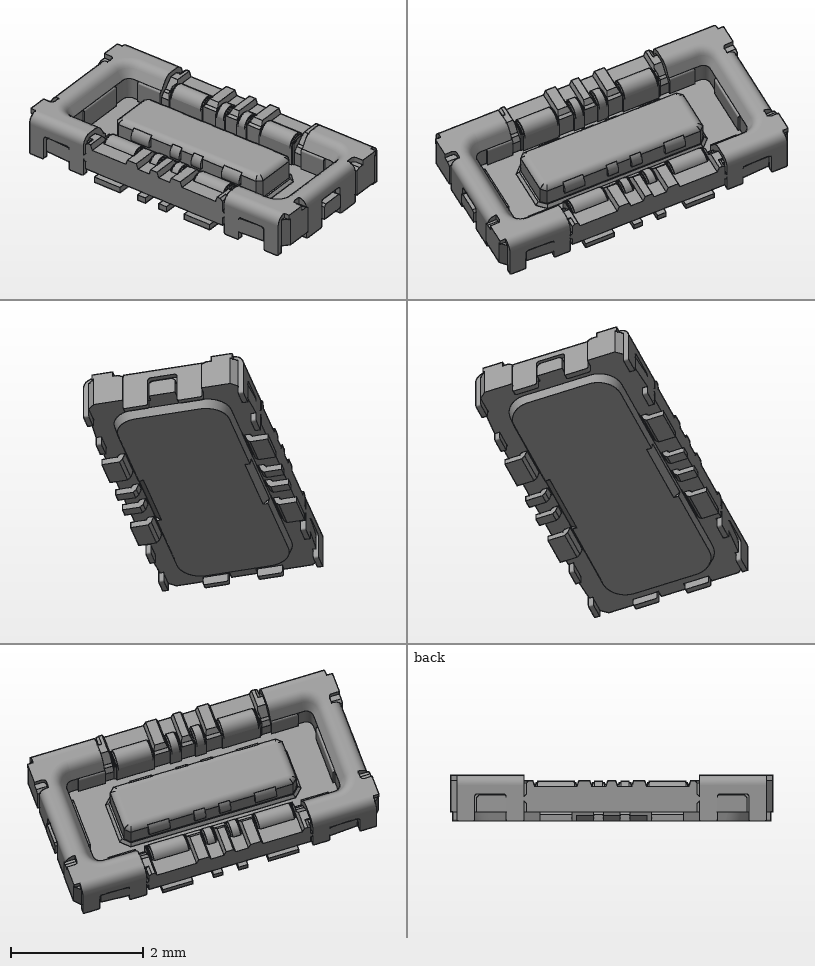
import cadquery as cq
import math

LENGTH = 4.88
WIDTH = 2.6
HEIGHT = 0.7
HALF_X = LENGTH / 2
HALF_Y = 1.255
TAIL_Y = WIDTH / 2
BODY_BOTTOM = 0.14
FLOOR_Z = BODY_BOTTOM
EMBED = 0.05
SHEET = 0.085

SHELL_INNER_X = 1.325
SHELL_OUTER_X = 2.345
SIDE_BEND = 0.155
END_FLANGE_X = 2.41
END_FLANGE_Y = 0.62
END_BEND = 0.145
LEG_ROUND = 0.03

SHOULDER_Z = 0.615
BLOCK_Y = 1.1
BLOCK_CHAMFER_Y = 1.07
NOTCH_Y = 0.77
NOTCH_STEP_Y = 0.685
NOTCH_X = 2.265
NOTCH_ROUND = 0.055
NOTCH_LOW_Z = 0.58

RIM_X = 2.115
RIM_Y = 0.87
RIM_CORNER = 0.26
RIM_ROUND = 0.18
FUNNEL_ANGLE = 33.5
FUNNEL_DEPTH = 0.215
BULGE_Y = 0.695
BULGE_X = 1.755
END_PAD_X = 1.935
END_PAD_Y = 0.405

SIDE_WINDOW = (1.6, 2.08, 0.415)
SIDE_TONGUE = (1.6, 2.05, 0.395)
SIDE_TONGUE_SETBACK = 0.03
END_WINDOW_Y = 0.23
END_WINDOW_TOP = 0.5
END_TAB_Y = 0.205
END_TAB_TOP = 0.405
TAB_CHAMFER = 0.04
WINDOW_ROUND = 0.05

RIB_TOP = 0.615
RIB_INNER_Y = 0.715
RIB_NOSE_Z = 0.52
RIB_BEVEL = (0.77, 0.54)
RIB_SHOULDER_Y = 0.835
END_RIB_SHOULDER_Y = 0.96
END_RIB_STEPS = ((0.83, 0.465), (0.785, 0.44), (0.725, 0.365))
CHANNEL_Z = 0.525
WALL_CHANNELS = ((0.095, 0.3), (0.53, 1.16))
CHANNEL_FLARE = 0.035
CONTACTS = ((0.11, 0.29), (0.54, 1.145))
CONTACT_FLANK = 0.025
CONTACT_TOP = 0.605
CONTACT_OUTER_Y = 1.005
CONTACT_CREST_Y = 0.89
CONTACT_INNER_Z = 0.465
TAILS = ((0.125, 0.275), (0.605, 1.09))
TAIL_THICKNESS = 0.1
TAIL_HEEL = ((1.025, 0), (0.975, 0.045), (0.935, BODY_BOTTOM))
TAIL_INSIDE = ((1.025, BODY_BOTTOM), (1.06, TAIL_THICKNESS))
END_RIB_X = 1.18
GAP_X = 1.295
GAP_BRIDGE = (0.305, 0.375)
POCKET_X = 1.25
POCKET_Y = 1.115

ISLAND_X = 1.375
ISLAND_Y = 0.41
ISLAND_TOP = 0.56
ISLAND_CORNER = 0.08
ISLAND_EDGE_WIDTH = 0.115
ISLAND_EDGE_DROP = 0.07
LEDGE_X = 1.45
LEDGE_Y = 0.47
LEDGE_CORNER = 0.13
LEDGE_Z = FLOOR_Z + 0.05
LEDGE_BEVEL = 0.045
ISLAND_CONTACTS = ((0.11, 0.29), (0.685, 1.02))
ISLAND_CONTACT_Y = 0.455
ISLAND_CONTACT_CREST = (0.44, 0.47)
ISLAND_CONTACT_INNER_Y = 0.385
ISLAND_CONTACT_TOP = 0.525
ISLAND_CONTACT_BOTTOM = 0.33

BASE_X = 2.145
BASE_Y = 0.915
BASE_CORNER = 0.39
BASE_DRAFT = 0.04
UNDERCUT_X = 0.53
UNDERCUT_HEIGHT = 0.1
UNDERCUT_DEPTH = 0.115


def block(x0, x1, y0, y1, z0, z1):
    return cq.Workplane("XY").box(x1 - x0, y1 - y0, z1 - z0, centered=False).translate((x0, y0, z0))


def centred(half_x, half_y, z0, z1):
    return block(-half_x, half_x, -half_y, half_y, z0, z1)


def both_sides(solid):
    """Solid together with its mirror image in Y."""
    return solid.union(solid.mirror("XZ"))


def four_ways(solid):
    """Solid together with its mirror images in X and Y."""
    halves = solid.union(solid.mirror("YZ"))
    return both_sides(halves)


def along_x(profile, x0, x1):
    """Extrude a closed (Y, Z) profile from x0 to x1."""
    return cq.Workplane("YZ").polyline(profile).close().extrude(x1 - x0).translate((x0, 0, 0))


def along_y(profile, y0, y1):
    """Extrude a closed (X, Z) profile from y0 to y1."""
    return cq.Workplane("XZ").polyline(profile).close().extrude(y0 - y1).translate((0, y0, 0))


def make_base():
    taper = math.degrees(math.atan(BASE_DRAFT / BODY_BOTTOM))
    base = (
        cq.Workplane("XY", origin=(0, 0, BODY_BOTTOM))
        .rect(2 * BASE_X, 2 * BASE_Y)
        .extrude(-BODY_BOTTOM, taper=taper)
        .edges("not(#Z)").fillet(BASE_CORNER)
    )
    undercut = [
        (BASE_Y - UNDERCUT_DEPTH, 0),
        (BASE_Y, UNDERCUT_HEIGHT),
        (BASE_Y, 0),
    ]
    return base.cut(both_sides(along_x(undercut, -UNDERCUT_X, UNDERCUT_X)))


def make_frame():
    sides = centred(SHELL_OUTER_X, HALF_Y, BODY_BOTTOM, HEIGHT)
    sides = sides.edges("|X and >Z").fillet(SIDE_BEND)
    bend_room = block(NOTCH_X, HALF_X, 0, END_FLANGE_Y, BODY_BOTTOM, HEIGHT)
    sides = sides.cut(four_ways(bend_room))
    ends = centred(END_FLANGE_X, END_FLANGE_Y, BODY_BOTTOM, HEIGHT)
    ends = ends.edges("|Y and >Z").fillet(END_BEND)

    outline = [
        (NOTCH_X, END_FLANGE_Y),
        (HALF_X, END_FLANGE_Y),
        (HALF_X, BLOCK_CHAMFER_Y),
        (SHELL_OUTER_X, HALF_Y - SHEET),
        (NOTCH_X, HALF_Y - SHEET),
    ]
    corner = cq.Workplane("XY").polyline(outline).close().extrude(SHOULDER_Z - BODY_BOTTOM)
    corner = corner.translate((0, 0, BODY_BOTTOM))
    corner = corner.union(block(NOTCH_X, HALF_X, NOTCH_Y, BLOCK_Y, SHOULDER_Z, HEIGHT))
    frame = sides.union(ends).union(four_ways(corner))

    notch = [
        (END_FLANGE_Y, NOTCH_LOW_Z),
        (NOTCH_STEP_Y, SHOULDER_Z),
        (NOTCH_Y, SHOULDER_Z),
        (NOTCH_Y, HEIGHT),
        (END_FLANGE_Y, HEIGHT),
    ]
    notch = along_x(notch, NOTCH_X, HALF_X)
    inner_edge = cq.selectors.NearestToPointSelector((NOTCH_X, NOTCH_Y, (SHOULDER_Z + HEIGHT) / 2))
    notch = notch.edges(inner_edge).fillet(NOTCH_ROUND)
    return frame.cut(four_ways(notch))


def cut_recess(frame):
    funnel = (
        cq.Workplane("XY", origin=(0, 0, HEIGHT))
        .sketch().rect(2 * RIM_X, 2 * RIM_Y).vertices().fillet(RIM_CORNER).finalize()
        .extrude(-FUNNEL_DEPTH, taper=FUNNEL_ANGLE)
    )
    inset = FUNNEL_DEPTH * math.tan(math.radians(FUNNEL_ANGLE))
    well_x = RIM_X - inset
    well_y = RIM_Y - inset
    well = centred(well_x, well_y, FLOOR_Z, HEIGHT - FUNNEL_DEPTH)
    well = well.edges("|Z").fillet(RIM_CORNER - inset)
    frame = frame.cut(funnel)

    margin = RIM_ROUND / 10
    rim = cq.selectors.BoxSelector(
        (-RIM_X - margin, -RIM_Y - margin, HEIGHT - margin),
        (RIM_X + margin, RIM_Y + margin, HEIGHT + margin),
        boundingbox=True,
    )
    frame = frame.edges(rim).fillet(RIM_ROUND)
    frame = frame.cut(well)

    pad_top = HEIGHT - FUNNEL_DEPTH
    bulge = block(0, BULGE_X, BULGE_Y, RIM_Y, BODY_BOTTOM, pad_top)
    bulge = bulge.edges("|X and >Z and <Y").fillet(well_y - BULGE_Y)
    pad = block(END_PAD_X, RIM_X, 0, END_PAD_Y, BODY_BOTTOM, pad_top)
    pad = pad.edges("|Y and >Z and <X").fillet(well_x - END_PAD_X)
    frame = frame.union(four_ways(bulge)).union(four_ways(pad))
    return frame.cut(centred(SHELL_INNER_X, HALF_Y, 0, HEIGHT))


def make_legs():
    side = block(SHELL_INNER_X, SHELL_OUTER_X, HALF_Y - SHEET, HALF_Y, 0, BODY_BOTTOM + EMBED)
    side = side.cut(block(SIDE_WINDOW[0], SIDE_WINDOW[1], 0, HALF_Y, 0, HEIGHT))
    side = side.edges("|Y and <Z").fillet(LEG_ROUND)
    end = block(END_FLANGE_X - SHEET, END_FLANGE_X, END_WINDOW_Y, END_FLANGE_Y, 0, BODY_BOTTOM + EMBED)
    end = end.edges("|X and <Z").fillet(LEG_ROUND)
    return four_ways(side.union(end))


def cut_windows(frame):
    x0, x1, top = SIDE_WINDOW
    side = block(x0, x1, HALF_Y - SHEET, HALF_Y, 0, top)
    side = side.edges("|Y and >Z").fillet(WINDOW_ROUND)
    x0, x1, top = SIDE_TONGUE
    outline = [
        (x0, HALF_Y - SHEET),
        (x0, HALF_Y),
        (x1, HALF_Y - SIDE_TONGUE_SETBACK),
        (x1, HALF_Y - SHEET),
    ]
    tongue = cq.Workplane("XY").polyline(outline).close().extrude(top - BODY_BOTTOM)
    tongue = tongue.translate((0, 0, BODY_BOTTOM))
    tongue = tongue.edges(">X and >Z").chamfer(TAB_CHAMFER)

    end = block(END_FLANGE_X - SHEET, END_FLANGE_X, -END_WINDOW_Y, END_WINDOW_Y, 0, END_WINDOW_TOP)
    end = end.edges("|X and >Z").fillet(WINDOW_ROUND)
    tab = block(END_FLANGE_X - SHEET, HALF_X, -END_TAB_Y, END_TAB_Y, BODY_BOTTOM, END_TAB_TOP)
    tab = tab.edges("|X and >Z").chamfer(TAB_CHAMFER)
    return frame.cut(four_ways(side)).union(four_ways(tongue)).cut(four_ways(end)).union(four_ways(tab))


def make_terminal_wall():
    """X > 0 half of the wall on the +Y side, with channels between its ribs."""
    rib = [
        (RIB_INNER_Y, FLOOR_Z - EMBED),
        (RIB_INNER_Y, RIB_NOSE_Z),
        RIB_BEVEL,
        (RIB_SHOULDER_Y, RIB_TOP),
        (HALF_Y, RIB_TOP),
        (HALF_Y, BODY_BOTTOM),
        (RIB_SHOULDER_Y, BODY_BOTTOM),
        (RIB_SHOULDER_Y, FLOOR_Z - EMBED),
    ]
    wall = along_x(rib, 0, SHELL_INNER_X)

    slope = [
        (0, RIB_TOP),
        (END_RIB_SHOULDER_Y, RIB_TOP),
        *END_RIB_STEPS,
        (END_RIB_STEPS[-1][0], FLOOR_Z),
        (0, FLOOR_Z),
    ]
    wall = wall.cut(along_x(slope, END_RIB_X, SHELL_INNER_X))

    for x0, x1 in WALL_CHANNELS:
        channel = [
            (x0, CHANNEL_Z),
            (x1, CHANNEL_Z),
            (x1 + CHANNEL_FLARE, RIB_TOP),
            (x0 - CHANNEL_FLARE, RIB_TOP),
        ]
        wall = wall.cut(along_y(channel, 0, HALF_Y))

    low, high = GAP_BRIDGE
    ramp = SHELL_INNER_X - GAP_X
    upper = [(SHELL_INNER_X, high), (GAP_X, high + ramp), (GAP_X, RIB_TOP), (SHELL_INNER_X, RIB_TOP)]
    lower = [(SHELL_INNER_X, low), (GAP_X, low - ramp), (GAP_X, BODY_BOTTOM), (SHELL_INNER_X, BODY_BOTTOM)]
    for gap in (upper, lower):
        wall = wall.cut(along_y(gap, HALF_Y - SHEET, HALF_Y))
    pocket = [
        (POCKET_X, RIB_TOP),
        (GAP_X, RIB_TOP - ramp),
        (SHELL_INNER_X, RIB_TOP - ramp),
        (SHELL_INNER_X, RIB_TOP),
    ]
    return wall.cut(along_y(pocket, POCKET_Y, HALF_Y))


def make_contact(x0, x1):
    """Contact with a rounded crest between two lower flanks."""
    crest = contact_bar(x0 + CONTACT_FLANK, x1 - CONTACT_FLANK, 0)
    return contact_bar(x0, x1, CONTACT_FLANK).union(crest)


def contact_bar(x0, x1, drop):
    """Arched bar whose arch is lowered by drop."""
    return (
        cq.Workplane("YZ").moveTo(BULGE_Y, FLOOR_Z - EMBED).lineTo(BULGE_Y, CONTACT_INNER_Z - drop)
        .threePointArc((CONTACT_CREST_Y, CONTACT_TOP - drop), (CONTACT_OUTER_Y, CHANNEL_Z - drop))
        .lineTo(CONTACT_OUTER_Y, BODY_BOTTOM + EMBED).lineTo(RIB_SHOULDER_Y, FLOOR_Z - EMBED).close()
        .extrude(x1 - x0).translate((x0, 0, 0))
    )


def make_tail(x0, x1):
    """Solder tail that bends up from the mounting plane into the wall."""
    profile = [
        (TAIL_Y, 0),
        *TAIL_HEEL,
        (TAIL_HEEL[-1][0], BODY_BOTTOM + EMBED),
        (TAIL_INSIDE[0][0], BODY_BOTTOM + EMBED),
        *TAIL_INSIDE,
        (TAIL_Y, TAIL_THICKNESS),
    ]
    return along_x(profile, x0, x1)


def make_island():
    ledge = centred(LEDGE_X, LEDGE_Y, FLOOR_Z - EMBED, LEDGE_Z).edges("|Z").chamfer(LEDGE_CORNER)
    ledge = ledge.faces(">Z").edges().chamfer(LEDGE_BEVEL)
    core = centred(ISLAND_X, ISLAND_Y, FLOOR_Z - EMBED, ISLAND_TOP).edges("|Z").chamfer(ISLAND_CORNER)

    radius = (ISLAND_EDGE_WIDTH ** 2 + ISLAND_EDGE_DROP ** 2) / (2 * ISLAND_EDGE_DROP)
    margin = radius - ISLAND_EDGE_WIDTH
    dome = centred(ISLAND_X + margin, ISLAND_Y + margin, FLOOR_Z - EMBED, ISLAND_TOP)
    dome = dome.edges("|Z").chamfer(ISLAND_CORNER + margin * (2 - math.sqrt(2)))
    dome = dome.faces(">Z").edges().fillet(radius)
    island = ledge.union(core.intersect(dome))

    for x0, x1 in ISLAND_CONTACTS:
        strip = (
            cq.Workplane("YZ").moveTo(ISLAND_CONTACT_INNER_Y, ISLAND_CONTACT_TOP)
            .threePointArc(ISLAND_CONTACT_CREST, (ISLAND_CONTACT_Y, ISLAND_CONTACT_BOTTOM))
            .lineTo(ISLAND_CONTACT_INNER_Y, ISLAND_CONTACT_BOTTOM).close()
            .extrude(x1 - x0).translate((x0, 0, 0))
        )
        island = island.union(four_ways(strip))
    return island


frame = cut_windows(cut_recess(make_frame())).union(make_legs())
terminals = make_terminal_wall()
for extent in CONTACTS:
    terminals = terminals.union(make_contact(*extent))
for extent in TAILS:
    terminals = terminals.union(make_tail(*extent))

result = make_base().union(frame)
result = result.union(four_ways(terminals)).union(make_island())